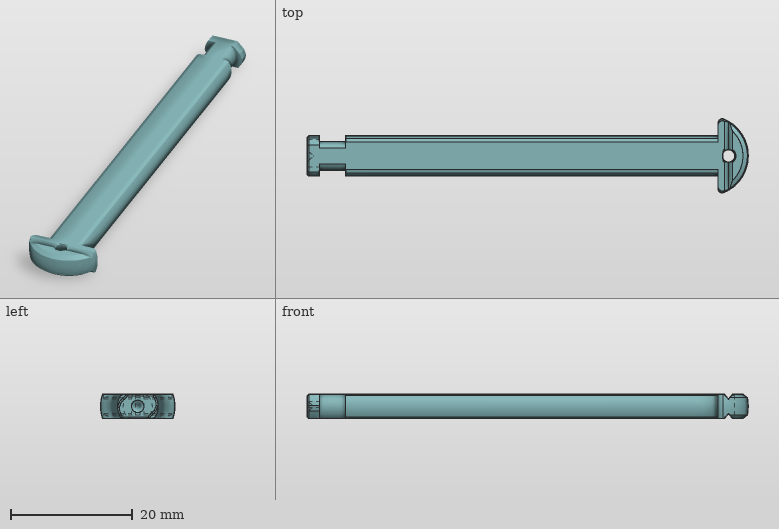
import cadquery as cq
import math

length = 72.5
thickness = 4.0
half_thick = thickness / 2

key_length = 2.0
shaft_start = 6.3
head_start = 67.5
head_widest = 68.3

shaft_radius = 3.3
neck_radius = 2.4
shaft_flat_half_width = 2.25
shaft_edge_drop = 0.2

cam_top_y = 1.8
cam_knee_y = 3.0
cam_knee_z = 0.8
cam_end_z = -0.15
key_end_chamfer = 0.3
center_mark_diameter = 2.0

head_width = 12.25
head_radius = head_width / 2
dome_chamfer = 0.6
groove_center_x = 69.25
groove_half_width = 0.65
groove_depth = 0.8
cross_hole_diameter = 2.0
countersink_diameter = 2.5


def circle_offset(radius, offset):
    """Half chord of a circle at a given distance from its center."""
    return math.sqrt(radius ** 2 - offset ** 2)


def section_plane(x):
    """Cross-section plane at station x: local x is Y, local y is Z."""
    return cq.Workplane("YZ", origin=(x, 0, 0))


def make_slab(start, end, width):
    """Flat slab that trims round stock to the pin thickness."""
    slab = cq.Workplane("XY").box(end - start, width, thickness, centered=(False, True, True))
    return slab.translate((start, 0, 0))


def make_key():
    """Round key with flats, two cam corners and a chamfered end."""
    flat_y = circle_offset(shaft_radius, half_thick)
    cam_end_y = circle_offset(shaft_radius, cam_end_z)
    arc_mid_angle = (math.asin(cam_end_z / shaft_radius) - math.asin(half_thick / shaft_radius)) / 2
    arc_mid_y = shaft_radius * math.cos(arc_mid_angle)
    arc_mid_z = shaft_radius * math.sin(arc_mid_angle)
    outline = (
        section_plane(0)
        .moveTo(cam_top_y, half_thick)
        .lineTo(cam_knee_y, cam_knee_z)
        .lineTo(cam_end_y, cam_end_z)
        .threePointArc((arc_mid_y, arc_mid_z), (flat_y, -half_thick))
        .lineTo(-cam_top_y, -half_thick)
        .lineTo(-cam_knee_y, -cam_knee_z)
        .lineTo(-cam_end_y, -cam_end_z)
        .threePointArc((-arc_mid_y, -arc_mid_z), (-flat_y, half_thick))
        .close()
    )
    return outline.extrude(key_length).faces("<X").edges().chamfer(key_end_chamfer)


def make_neck():
    """Slim round neck with flats level with the shaft."""
    rod = section_plane(key_length).circle(neck_radius).extrude(shaft_start - key_length)
    return rod.intersect(make_slab(key_length, shaft_start, 2 * neck_radius))


def make_shaft():
    """Round-sided shaft with flats and a bevel beside each flat."""
    bevel_z = half_thick - shaft_edge_drop
    bevel_y = circle_offset(shaft_radius, bevel_z)
    outline = (
        section_plane(shaft_start)
        .moveTo(shaft_flat_half_width, half_thick)
        .lineTo(bevel_y, bevel_z)
        .threePointArc((shaft_radius, 0), (bevel_y, -bevel_z))
        .lineTo(shaft_flat_half_width, -half_thick)
        .lineTo(-shaft_flat_half_width, -half_thick)
        .lineTo(-bevel_y, -bevel_z)
        .threePointArc((-shaft_radius, 0), (-bevel_y, bevel_z))
        .lineTo(-shaft_flat_half_width, half_thick)
        .close()
    )
    return outline.extrude(head_widest - shaft_start)


def make_grooves():
    """V grooves across the top and bottom of the head."""
    v_section = [
        (groove_center_x - groove_half_width, half_thick),
        (groove_center_x, half_thick - groove_depth),
        (groove_center_x + groove_half_width, half_thick),
    ]
    upper = cq.Workplane("XZ").polyline(v_section).close().extrude(head_radius, both=True)
    return upper.union(upper.mirror("XY"))


def make_cross_hole():
    """Hole through the head along Z with a 45 degree countersink at each flat."""
    hole_radius = cross_hole_diameter / 2
    sink_radius = countersink_diameter / 2
    sink_bottom = half_thick - (sink_radius - hole_radius)
    half_profile = [
        (0, -half_thick),
        (sink_radius, -half_thick),
        (hole_radius, -sink_bottom),
        (hole_radius, sink_bottom),
        (sink_radius, half_thick),
        (0, half_thick),
    ]
    section = cq.Workplane("XZ", origin=(groove_center_x, 0, 0)).polyline(half_profile).close()
    return section.revolve(360, (0, 0, 0), (0, 1, 0))


def make_head():
    """Dome turned about X, trimmed to thickness, grooved and drilled."""
    rim_round = head_widest - head_start
    dome_depth = length - head_widest
    dome_radius = (head_radius ** 2 + dome_depth ** 2) / (2 * dome_depth)
    dome_center_x = length - dome_radius
    dome_mid_angle = math.asin(head_radius / dome_radius) / 2
    dome_mid = (
        dome_center_x + dome_radius * math.cos(dome_mid_angle),
        dome_radius * math.sin(dome_mid_angle),
    )
    rim_mid = (
        head_widest - rim_round * math.sqrt(0.5),
        head_radius - rim_round * (1 - math.sqrt(0.5)),
    )
    dome = (
        cq.Workplane("XY")
        .moveTo(head_start, 0)
        .lineTo(head_start, head_radius - rim_round)
        .threePointArc(rim_mid, (head_widest, head_radius))
        .threePointArc(dome_mid, (length, 0))
        .close()
        .revolve(360, (0, 0, 0), (1, 0, 0))
    )
    rim_part = dome.intersect(make_slab(head_start, groove_center_x, head_width))
    dome_part = dome.intersect(make_slab(groove_center_x, length, head_width))
    dome_part = dome_part.faces("|Z").edges("%CIRCLE").chamfer(dome_chamfer)
    head = rim_part.union(dome_part).cut(make_grooves())
    return head.cut(make_cross_hole())


def make_center_mark():
    """Conical 90 degree center mark in the key end."""
    radius = center_mark_diameter / 2
    half_cone = cq.Workplane("XY").polyline([(0, 0), (0, radius), (radius, 0)]).close()
    return half_cone.revolve(360, (0, 0, 0), (1, 0, 0))


result = (
    make_key()
    .union(make_neck())
    .union(make_shaft())
    .union(make_head())
    .cut(make_center_mark())
)